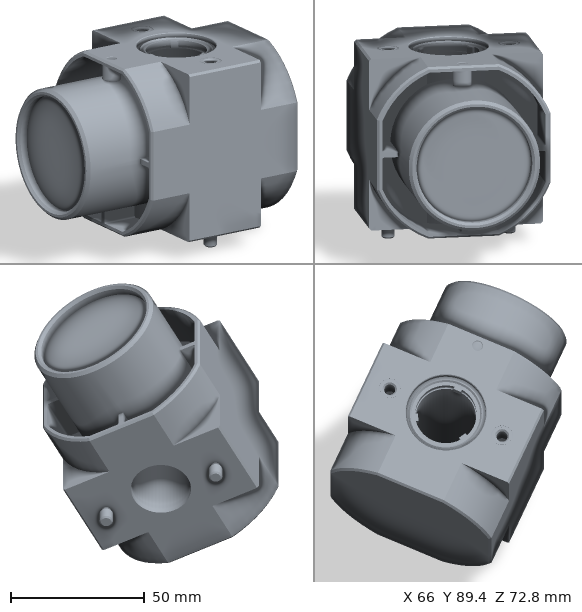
import cadquery as cq
import math

cube_size = 66.0
half_cube = cube_size / 2
cross_width = 32.0
half_cross = cross_width / 2
edge_chamfer = 0.8
end_flat_half_width = 13.5
end_radius = math.hypot(half_cube, end_flat_half_width)

wall = 2.0
pocket_half = half_cube - wall
pocket_radius = end_radius - wall
column_radius = 19.4
rib_thickness = 2.0
rib_fillet = 0.6

barrel_radius = 25.0
barrel_end = 56.4
barrel_chamfer_radial = 1.15
barrel_chamfer_length = 1.2
window_radius = 22.0
window_depth = 3.8
window_chamfer_radial = 0.9
window_chamfer_length = 1.0

boss_radius = 3.5
boss_y = -29.1
boss_hole_radius = 4.13 / 2
boss_hole_floor_radius = 3.7 / 2
boss_hole_depth = 0.2

bore_radius = 22.5 / 2
seat_radius = 15.0
seat_depth = 1.9
seat_chamfer = 0.25
lip_bore_radius = 11.5
lip_thickness = 1.9
undercut_radius = 12.6
undercut_height = 1.1
ridge_radius = 13.45
ridge_height = 0.6
tab_count = 3
tab_first_angle = 30.0
tab_width = 3.0
tab_inner_radius = 10.4

pin_spacing = 46.0
socket_ring_outer = 8.3 / 2
socket_ring_inner = 7.0 / 2
socket_ring_depth = 0.1
socket_mouth_radius = 5.4 / 2
socket_radius = 4.13 / 2
socket_depth = 8.0
drill_point_angle = 118.0

pin_head_radius = 5.0 / 2
pin_neck_radius = 3.8 / 2
pin_reach = 6.8
pin_neck_length = 1.1
pin_chamfer = 0.6
pin_shank_depth = 8.0
pin_places = [-pin_spacing / 2, pin_spacing / 2]


def revolve_about_z(profile):
    """Turn a closed (radius, z) outline around the Z axis."""
    return cq.Workplane("XZ").polyline(profile).close().revolve(360, (0, 0, 0), (0, 1, 0))


def rounded_block(half_size, radius, y_start, y_end):
    """Square prism along Y whose corners are cut by one common circle."""
    length = y_end - y_start
    square = cq.Workplane("XZ", origin=(0, y_end, 0)).rect(2 * half_size, 2 * half_size).extrude(length)
    disc = cq.Workplane("XZ", origin=(0, y_end, 0)).circle(radius).extrude(length)
    return square.intersect(disc)


def cylinder_along_z(radius, z_start, z_end, x=0.0, y=0.0):
    return cq.Workplane("XY", origin=(x, y, z_start)).circle(radius).extrude(z_end - z_start)


def make_shell():
    band = cq.Workplane("XY").box(cube_size, cross_width, cube_size)
    band = band.edges("|Y").chamfer(edge_chamfer)
    ends = rounded_block(half_cube, end_radius, -half_cube, half_cube)
    ends = ends.faces("<Y or >Y").chamfer(edge_chamfer)
    return band.union(ends)


def make_pocket():
    """Pocket volume, leaving the bore column and three ribs standing."""
    pocket = rounded_block(pocket_half, pocket_radius, -half_cube, -half_cross)
    pocket_length = half_cube - half_cross
    pocket_middle = -(half_cube + half_cross) / 2
    side_ribs = cq.Workplane("XY").box(cube_size, pocket_length, rib_thickness)
    lower_rib = cq.Workplane("XY").box(rib_thickness, pocket_length, half_cube)
    lower_rib = lower_rib.translate((0, 0, -half_cube / 2))
    ribs = side_ribs.union(lower_rib).translate((0, pocket_middle, 0))
    pocket = pocket.cut(ribs)
    for x, z in [(-pocket_half, 0), (pocket_half, 0), (0, -pocket_half)]:
        reach = rib_thickness
        corners = cq.selectors.BoxSelector(
            (x - reach, -half_cube - reach, z - reach), (x + reach, 0, z + reach)
        )
        pocket = pocket.edges(corners).edges("|Y").fillet(rib_fillet)
    return pocket.cut(cylinder_along_z(column_radius, -half_cube, half_cube))


def make_barrel():
    chamfer_radius = barrel_radius - barrel_chamfer_radial
    mouth_radius = window_radius + window_chamfer_radial
    profile = [
        (0, -half_cross),
        (barrel_radius, -half_cross),
        (barrel_radius, -barrel_end + barrel_chamfer_length),
        (chamfer_radius, -barrel_end),
        (mouth_radius, -barrel_end),
        (window_radius, -barrel_end + window_chamfer_length),
        (window_radius, -barrel_end + window_depth),
        (0, -barrel_end + window_depth),
    ]
    return cq.Workplane("XY").polyline(profile).close().revolve(360, (0, 0, 0), (0, 1, 0))


def make_boss():
    return cylinder_along_z(boss_radius, 0, pocket_half, y=boss_y)


def make_boss_hole():
    hole = revolve_about_z([
        (0, half_cube),
        (boss_hole_radius, half_cube),
        (boss_hole_floor_radius, half_cube - boss_hole_depth),
        (0, half_cube - boss_hole_depth),
    ])
    return hole.translate((0, boss_y, 0))


def make_bore():
    """Through bore, undercut, lip and chamfered seat as one volume."""
    seat_floor = half_cube - seat_depth
    lip_bottom = seat_floor - lip_thickness
    undercut_floor = lip_bottom - undercut_height
    return revolve_about_z([
        (0, -half_cube),
        (bore_radius, -half_cube),
        (bore_radius, undercut_floor),
        (undercut_radius, undercut_floor),
        (undercut_radius, lip_bottom),
        (lip_bore_radius, lip_bottom),
        (lip_bore_radius, seat_floor),
        (ridge_radius - ridge_height, seat_floor),
        (ridge_radius, seat_floor + ridge_height),
        (ridge_radius + ridge_height, seat_floor),
        (seat_radius, seat_floor),
        (seat_radius, half_cube - seat_chamfer),
        (seat_radius + seat_chamfer, half_cube),
        (0, half_cube),
    ])


def make_tabs():
    """Stops that stand on the undercut floor and point into the bore."""
    height = lip_thickness + undercut_height
    length = undercut_radius - tab_inner_radius
    base = half_cube - seat_depth - height
    tab = cq.Workplane("XY").box(length, tab_width, height, centered=(False, True, False))
    tab = tab.translate((tab_inner_radius, 0, base))
    tabs = cq.Workplane("XY")
    for index in range(tab_count):
        angle = tab_first_angle + index * 360.0 / tab_count
        tabs = tabs.add(tab.rotate((0, 0, 0), (0, 0, 1), angle))
    return tabs.combine()


def make_socket(x):
    """Countersunk blind hole with a drill point, inside a shallow ring."""
    mouth_depth = socket_mouth_radius - socket_radius
    point_length = socket_radius / math.tan(math.radians(drill_point_angle / 2))
    hole = revolve_about_z([
        (0, half_cube),
        (socket_mouth_radius, half_cube),
        (socket_radius, half_cube - mouth_depth),
        (socket_radius, half_cube - socket_depth),
        (0, half_cube - socket_depth - point_length),
    ])
    ring = cylinder_along_z(socket_ring_outer, half_cube - socket_ring_depth, half_cube)
    ring = ring.cut(cylinder_along_z(socket_ring_inner, half_cube - socket_ring_depth, half_cube))
    return hole.union(ring).translate((x, 0, 0))


def make_pin(x):
    """Necked pin below the housing with a plain shank inside it."""
    top = -half_cube + pin_shank_depth
    shoulder = -half_cube - pin_neck_length
    tip = -half_cube - pin_reach
    pin = revolve_about_z([
        (0, top),
        (pin_neck_radius, top),
        (pin_neck_radius, shoulder),
        (pin_head_radius, shoulder - pin_chamfer),
        (pin_head_radius, tip + pin_chamfer),
        (pin_head_radius - pin_chamfer, tip),
        (0, tip),
    ])
    return pin.translate((x, 0, 0))


def make_housing():
    housing = make_shell().cut(make_pocket())
    housing = housing.union(make_barrel()).union(make_boss())
    housing = housing.cut(make_bore()).union(make_tabs())
    housing = housing.cut(make_boss_hole())
    for x in pin_places:
        housing = housing.cut(make_socket(x))
        shank_hole = cylinder_along_z(pin_neck_radius, -half_cube, -half_cube + pin_shank_depth, x=x)
        housing = housing.cut(shank_hole)
    return housing


housing = make_housing()
pins = [make_pin(x).val() for x in pin_places]

result = cq.Compound.makeCompound([housing.solids().val(), *pins])